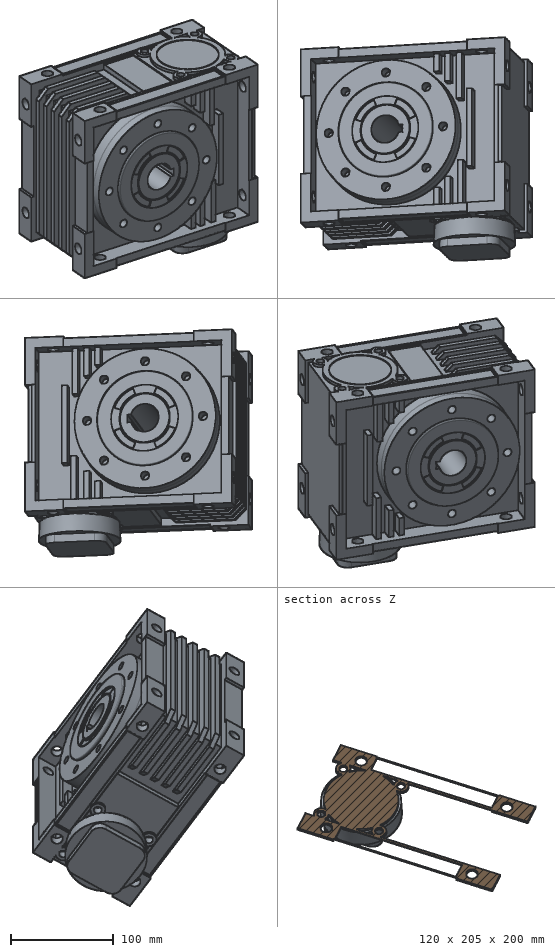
import cadquery as cq
import math


LENGTH = 205.0
BACK_Y = 119.1
FRONT_Y = BACK_Y - LENGTH
FRAME_HEIGHT = 174.0
MID_Z = -0.92
TOP_Z = MID_Z + FRAME_HEIGHT / 2
BOTTOM_Z = MID_Z - FRAME_HEIGHT / 2
FRAME_WIDTH = 112.5
CORE_WIDTH = 71.1
HUB_WIDTH = 120.0
WORM_Y = 74.8

WALL = 10.5
POCKET_DEPTH = 19.7
BACK_PAD_LENGTH = 38.0
FRONT_PAD_LENGTH = 38.0
PAD_GAP_Z = 78.0
RAIL_DROP_Z = 1.75
RAIL_DROP_BACK = 3.3
RAIL_DROP_FRONT = 3.0
RAIL_DROP_SIDE = 0.8
END_RELIEF = 0.2
LIP_WIDTH = 3.3
LIP_DEPTH = 0.5
LIP_MARGIN = 0.6
PANEL_WIDTH = 15.2
PANEL_OFFSET = 46.3
PANEL_MARGIN = 1.2
PANEL_DEPTH = 0.6

MOUNT_HOLE_DIAMETER = 11.0
MOUNT_X = 45.0
MOUNT_Z = 60.0
MOUNT_BACK_Y = 93.0
MOUNT_FRONT_Y = -60.0

BODY_BACK_Y = 115.8
BODY_FRONT_Y = -76.7
BODY_HIGH = 84.0
BODY_LOW = 77.3
STEP_Y = 0.2
PLATE_WIDTH = 68.3
PLATE_LENGTH = 33.8
PLATE_DEPTH = 1.0

FIN_COUNT = 5
FIN_PITCH = 13.0
FIN_WIDTH = 5.1
FIN_HALF_HEIGHT = BODY_HIGH
FIN_FRONT_Y = -85.0
FIN_START_Y = -8.6
FIN_RAMP = 7.2
FIN_CHAMFER = 10.9

FLANGE_RADIUS = 70.0
FLANGE_SEAT_RADIUS = 70.3
FLANGE_THICKNESS = 9.6
FLANGE_RISE = 1.0
FLANGE_HOLES = 8
FLANGE_HOLE_CIRCLE = 57.5
FLANGE_HOLE_DIAMETER = 8.2
FLANGE_HOLE_DEPTH = 14.4
HUB_RADIUS = 47.4
HUB_ROUND = 0.8
SEAL_RADIUS = 33.2
SEAL_DEPTH = 0.5
SHAFT_RADIUS = 25.0
SHAFT_GROOVE_WIDTH = 0.6
SHAFT_GROOVE_DEPTH = 1.0
WINDOWS = 4
WINDOW_INNER = 25.8
WINDOW_OUTER = 32.4
WINDOW_ANGLE = 48.0
WINDOW_DEPTH = 1.6
BORE_RADIUS = 14.0
KEYWAY_WIDTH = 7.8
KEYWAY_REACH = 17.2

RIB_WIDTH = 5.3
RIB_HEIGHT = 11.0
MIDDLE_RIB_Y = 81.4
UPPER_RIBS = ((71.0, 30.0), (59.5, 47.8), (48.5, 58.2))
LOWER_RIBS = ((72.4, -32.2), (59.5, -48.0), (48.5, -58.5))

BOSS_RADIUS = 36.7
BOSS_RECESS_RADIUS = 30.3
BOSS_RECESS_DEPTH = 0.8
LUGS = 4
LUG_CIRCLE = 42.6
LUG_RADIUS = 7.4
LUG_FIRST_ANGLE = 46.2
LUG_HOLE_DIAMETER = 7.5
LUG_HOLE_DEPTH = 10.2

COVER_TOP_RADIUS = 39.2
COVER_BOTTOM_RADIUS = 40.0
COVER_HEIGHT = 17.8
CAP_SIDE = 60.3
CAP_HEIGHT = 8.2
CAP_CORNER = 10.2

POCKET_FLOOR_X = FRAME_WIDTH / 2 - POCKET_DEPTH
FLANGE_FACE_X = FRAME_WIDTH / 2 + FLANGE_RISE
HUB_FACE_X = HUB_WIDTH / 2


def block(x0, x1, y0, y1, z0, z1):
    """Box between two opposite corners."""
    return cq.Workplane("XY").box(x1 - x0, y1 - y0, z1 - z0, centered=False).translate((x0, y0, z0))


def x_cylinder(radius, x0, x1, y=0.0, z=0.0):
    return cq.Workplane("YZ", origin=(x0, y, z)).circle(radius).extrude(x1 - x0)


def z_cylinder(radius, x, y, z0, z1):
    return cq.Workplane("XY", origin=(x, y, z0)).circle(radius).extrude(z1 - z0)


def both_heights(shape):
    """Add the reflection of a shape in the case's horizontal middle plane."""
    return shape.union(shape.mirror("XY", (0, 0, MID_Z)))


def polar(radius, degrees):
    angle = math.radians(degrees)
    return radius * math.cos(angle), radius * math.sin(angle)


def make_core():
    """Body between the frames, higher over the worm than over the fins."""
    half = POCKET_FLOOR_X
    pocket_half_height = FRAME_HEIGHT / 2 - WALL
    core = block(-half, half, FRONT_Y + WALL, BACK_Y - WALL,
                 MID_Z - pocket_half_height, MID_Z + pocket_half_height)
    half = CORE_WIDTH / 2
    core = core.union(block(-half, half, BODY_FRONT_Y, BODY_BACK_Y, MID_Z - BODY_LOW, MID_Z + BODY_LOW))
    core = core.union(block(-half, half, STEP_Y, BODY_BACK_Y, MID_Z - BODY_HIGH, MID_Z + BODY_HIGH))
    seat_z = MID_Z + BODY_HIGH
    plate_seat = block(-PLATE_WIDTH / 2, PLATE_WIDTH / 2, STEP_Y, STEP_Y + PLATE_LENGTH,
                       seat_z - PLATE_DEPTH, seat_z)
    return core.cut(plate_seat)


def make_fins():
    """Fins wrap round the front of the body from the top face to the bottom."""
    outline = [
        (FIN_START_Y, BODY_LOW),
        (FIN_START_Y - FIN_RAMP, FIN_HALF_HEIGHT),
        (FIN_FRONT_Y + FIN_CHAMFER, FIN_HALF_HEIGHT),
        (FIN_FRONT_Y, FIN_HALF_HEIGHT - FIN_CHAMFER),
    ]
    outline += [(y, -z) for y, z in reversed(outline)]
    fins = cq.Workplane("YZ")
    for index in range(FIN_COUNT):
        x = (index - (FIN_COUNT - 1) / 2) * FIN_PITCH
        fin = cq.Workplane("YZ", origin=(x, 0, MID_Z)).polyline(outline).close()
        fins = fins.add(fin.extrude(FIN_WIDTH / 2, both=True))
    return fins.combine()


def make_frame():
    """Mounting frame on the +X side: four corner pads joined by recessed rails."""
    inner, outer = CORE_WIDTH / 2, FRAME_WIDTH / 2
    back_rail, front_rail = BACK_Y - RAIL_DROP_BACK, FRONT_Y + RAIL_DROP_FRONT
    back_pad, front_pad = BACK_Y - BACK_PAD_LENGTH, FRONT_Y + FRONT_PAD_LENGTH
    rail_top = TOP_Z - RAIL_DROP_Z

    frame = block(inner, outer, front_rail, back_rail, BOTTOM_Z + RAIL_DROP_Z, rail_top)
    for y0, y1 in ((back_pad, BACK_Y), (FRONT_Y, front_pad)):
        for z0, z1 in ((PAD_GAP_Z / 2, TOP_Z), (BOTTOM_Z, -PAD_GAP_Z / 2)):
            frame = frame.union(block(inner, outer, y0, y1, z0, z1))

    pocket_top = TOP_Z - WALL
    pocket_bottom = BOTTOM_Z + WALL
    frame = frame.cut(block(inner, outer, FRONT_Y + WALL, BACK_Y - WALL, pocket_bottom, pocket_top))

    side_relief = block(outer - RAIL_DROP_SIDE, outer, front_pad, back_pad, pocket_top, TOP_Z)
    panel = block(PANEL_OFFSET - PANEL_WIDTH / 2, PANEL_OFFSET + PANEL_WIDTH / 2,
                  front_pad + PANEL_MARGIN, back_pad - PANEL_MARGIN,
                  rail_top - PANEL_DEPTH, rail_top)
    frame = frame.cut(both_heights(side_relief)).cut(both_heights(panel))

    end_face = outer - END_RELIEF
    lip_half_height = PAD_GAP_Z / 2 - LIP_MARGIN
    frame = frame.cut(block(end_face, outer, FRONT_Y, BACK_Y, -PAD_GAP_Z / 2, PAD_GAP_Z / 2))
    frame = frame.cut(block(end_face - LIP_DEPTH, end_face, back_rail - LIP_WIDTH, back_rail,
                            -lip_half_height, lip_half_height))

    for y in (MOUNT_BACK_Y, MOUNT_FRONT_Y):
        frame = frame.cut(z_cylinder(MOUNT_HOLE_DIAMETER / 2, MOUNT_X, y, BOTTOM_Z, TOP_Z))
    for z in (MOUNT_Z, -MOUNT_Z):
        start = cq.Workplane("XZ", origin=(MOUNT_X, BACK_Y, z))
        frame = frame.cut(start.circle(MOUNT_HOLE_DIAMETER / 2).extrude(LENGTH))
    return frame


def make_ribs():
    """Stiffening ribs on the pocket floor, +X side."""
    half_gap = PAD_GAP_Z / 2
    spans = [(MIDDLE_RIB_Y, -half_gap, half_gap)]
    spans += [(y, end, TOP_Z - WALL) for y, end in UPPER_RIBS]
    spans += [(y, BOTTOM_Z + WALL, end) for y, end in LOWER_RIBS]
    ribs = cq.Workplane("YZ")
    for y, z0, z1 in spans:
        ribs = ribs.add(block(POCKET_FLOOR_X, POCKET_FLOOR_X + RIB_HEIGHT,
                              y - RIB_WIDTH / 2, y + RIB_WIDTH / 2, z0, z1))
    return ribs.combine()


def make_flange():
    """Output flange, hub and shaft seal on the +X side."""
    flange_back = FLANGE_FACE_X - FLANGE_THICKNESS
    flange = x_cylinder(FLANGE_RADIUS, flange_back, FLANGE_FACE_X)
    seat = (
        cq.Workplane("YZ", origin=(POCKET_FLOOR_X, 0, 0))
        .circle(FLANGE_SEAT_RADIUS)
        .workplane(offset=flange_back - POCKET_FLOOR_X)
        .circle(FLANGE_RADIUS)
        .loft()
    )
    flange = flange.union(seat)
    hub = x_cylinder(HUB_RADIUS, POCKET_FLOOR_X, HUB_FACE_X).faces(">X").edges().fillet(HUB_ROUND)
    flange = flange.union(hub)

    for index in range(FLANGE_HOLES):
        y, z = polar(FLANGE_HOLE_CIRCLE, index * 360 / FLANGE_HOLES)
        hole = x_cylinder(FLANGE_HOLE_DIAMETER / 2, FLANGE_FACE_X - FLANGE_HOLE_DEPTH, FLANGE_FACE_X, y, z)
        flange = flange.cut(hole)

    seal_face = HUB_FACE_X - SEAL_DEPTH
    seal = x_cylinder(SEAL_RADIUS, seal_face, HUB_FACE_X).cut(x_cylinder(SHAFT_RADIUS, seal_face, HUB_FACE_X))
    groove_floor = HUB_FACE_X - SHAFT_GROOVE_DEPTH
    groove = x_cylinder(SHAFT_RADIUS, groove_floor, HUB_FACE_X)
    groove = groove.cut(x_cylinder(SHAFT_RADIUS - SHAFT_GROOVE_WIDTH, groove_floor, HUB_FACE_X))
    flange = flange.cut(seal).cut(groove)
    for index in range(WINDOWS):
        flange = flange.cut(make_window((index + 0.5) * 360 / WINDOWS))
    return flange


def make_window(middle):
    """Arc-shaped recess in the shaft seal, centred on the given angle."""
    start, end = middle - WINDOW_ANGLE / 2, middle + WINDOW_ANGLE / 2
    return (
        cq.Workplane("YZ", origin=(HUB_FACE_X - WINDOW_DEPTH, 0, 0))
        .moveTo(*polar(WINDOW_OUTER, start))
        .threePointArc(polar(WINDOW_OUTER, middle), polar(WINDOW_OUTER, end))
        .lineTo(*polar(WINDOW_INNER, end))
        .threePointArc(polar(WINDOW_INNER, middle), polar(WINDOW_INNER, start))
        .close()
        .extrude(WINDOW_DEPTH)
    )


def lug_centres():
    for index in range(LUGS):
        x, y = polar(LUG_CIRCLE, LUG_FIRST_ANGLE + index * 360 / LUGS)
        yield x, WORM_Y + y


def make_boss():
    """Worm bearing boss with its four screw lugs, at the top of the case."""
    base = MID_Z + BODY_HIGH
    boss = z_cylinder(BOSS_RADIUS, 0, WORM_Y, base, TOP_Z)
    for x, y in lug_centres():
        boss = boss.union(z_cylinder(LUG_RADIUS, x, y, base, TOP_Z))
    return boss


def make_boss_cuts():
    """Shallow centre recess and screw holes of the upper boss."""
    cuts = z_cylinder(BOSS_RECESS_RADIUS, 0, WORM_Y, TOP_Z - BOSS_RECESS_DEPTH, TOP_Z)
    for x, y in lug_centres():
        cuts = cuts.add(z_cylinder(LUG_HOLE_DIAMETER / 2, x, y, TOP_Z - LUG_HOLE_DEPTH, TOP_Z))
    return cuts.combine()


def make_cover():
    """Flared worm cover with a rounded square cap, below the case."""
    cover = (
        cq.Workplane("XY", origin=(0, WORM_Y, BOTTOM_Z))
        .circle(COVER_TOP_RADIUS)
        .workplane(offset=-COVER_HEIGHT)
        .circle(COVER_BOTTOM_RADIUS)
        .loft()
    )
    cap_bottom = BOTTOM_Z - COVER_HEIGHT - CAP_HEIGHT
    cap = cq.Workplane("XY", origin=(0, WORM_Y, cap_bottom)).rect(CAP_SIDE, CAP_SIDE).extrude(CAP_HEIGHT)
    return cover.union(cap.edges("|Z").fillet(CAP_CORNER))


def make_bore():
    """Through bore of the output shaft with its keyway."""
    bore = x_cylinder(BORE_RADIUS, -HUB_FACE_X, HUB_FACE_X)
    keyway = block(-HUB_FACE_X, HUB_FACE_X, 0, KEYWAY_REACH, -KEYWAY_WIDTH / 2, KEYWAY_WIDTH / 2)
    return bore.union(keyway)


side = make_frame().union(make_ribs()).union(make_flange())
result = make_core().union(make_fins()).union(side).union(side.mirror("YZ"))
result = result.union(both_heights(make_boss())).cut(both_heights(make_boss_cuts()))
result = result.union(make_cover()).cut(make_bore())